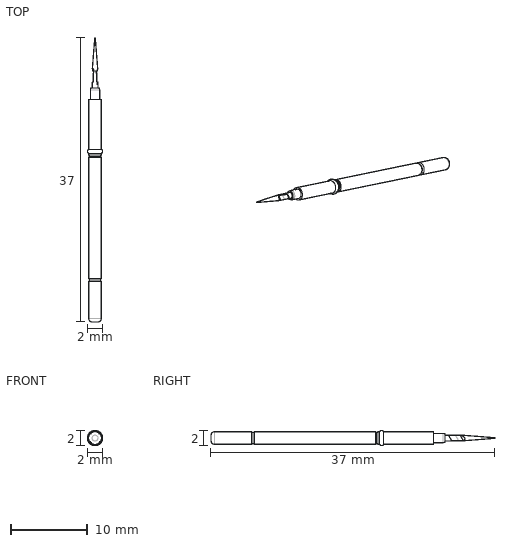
import cadquery as cq


barrel_radius = 0.83
barrel_front = 29.0
rear_round = 0.45

groove_depth = 0.12
rear_groove_rear = 5.26
rear_groove_bottom = 5.48
rear_groove_front = 5.7
collar_groove_rear = 21.45
collar_groove_bottom = 21.55
collar_groove_front = 21.77

collar_radius = 1.0
collar_rear = 21.95
collar_front = 22.5

nose_radius = 0.62
nose_front = 30.5
nose_chamfer_length = 0.25
nose_chamfer_drop = 0.06

shank_radius = 0.39
shank_front = 32.7
tip_radius = 0.05
tip_end = 37.0

flat_rear = 31.15
flat_front = 32.05
flat_half_thickness = 0.25
valley_station = 32.65
valley_half_thickness = 0.16
relief_front = 33.1
relief_slant = 0.6


def turned(outline):
    """Turn a closed outline, drawn as (station, radius) on the YZ plane, about the Y axis."""
    return outline.close().revolve(360, (0, 0), (1, 0))


def turned_polygon(corners):
    """Turn a polygon of (station, radius) corners about the Y axis."""
    return turned(cq.Workplane("YZ").polyline(corners))


def make_barrel():
    barrel = turned_polygon([
        (0, 0),
        (0, barrel_radius),
        (barrel_front, barrel_radius),
        (barrel_front, 0),
    ])
    return barrel.faces("<Y").edges().fillet(rear_round)


def make_groove(rear, bottom, front):
    """Ring that cuts a V groove between two stations, deepest at the bottom station."""
    return turned_polygon([
        (rear, barrel_radius),
        (bottom, barrel_radius - groove_depth),
        (front, barrel_radius),
    ])


def make_collar():
    rim_top = ((collar_rear + collar_front) / 2, collar_radius)
    outline = (
        cq.Workplane("YZ")
        .moveTo(collar_rear, 0)
        .lineTo(collar_rear, barrel_radius)
        .threePointArc(rim_top, (collar_front, barrel_radius))
        .lineTo(collar_front, 0)
    )
    return turned(outline)


def make_nose():
    return turned_polygon([
        (barrel_front, 0),
        (barrel_front, nose_radius),
        (nose_front - nose_chamfer_length, nose_radius),
        (nose_front, nose_radius - nose_chamfer_drop),
        (nose_front, 0),
    ])


def make_shank_and_needle():
    return turned_polygon([
        (nose_front, 0),
        (nose_front, shank_radius),
        (shank_front, shank_radius),
        (tip_end, tip_radius),
        (tip_end, 0),
    ])


def make_relief():
    """Slanted cutter that shapes the -X side of the shank."""
    half_height = shank_radius
    shift = relief_slant * half_height
    profile = [
        (-shank_radius, flat_rear),
        (-flat_half_thickness, flat_rear),
        (-flat_half_thickness, flat_front),
        (-valley_half_thickness, valley_station),
        (-shank_radius, relief_front),
    ]
    lower = cq.Workplane("XY", origin=(0, -shift, -half_height)).polyline(profile).close()
    path = cq.Workplane("YZ").moveTo(-shift, -half_height).lineTo(shift, half_height)
    return lower.sweep(path)


rear_groove = make_groove(rear_groove_rear, rear_groove_bottom, rear_groove_front)
collar_groove = make_groove(collar_groove_rear, collar_groove_bottom, collar_groove_front)
result = make_barrel().cut(rear_groove).cut(collar_groove)
for section in (make_collar(), make_nose(), make_shank_and_needle()):
    result = result.union(section)

relief = make_relief()
for turn in (0, 180):
    result = result.cut(relief.rotate((0, 0, 0), (0, 1, 0), turn))